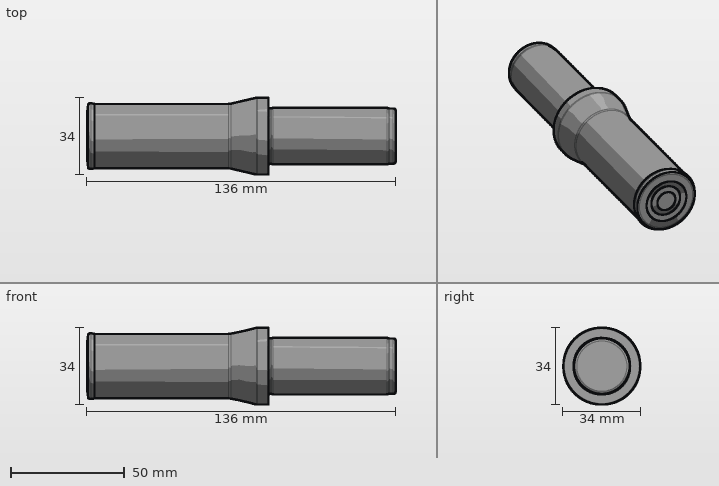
import cadquery as cq
import math

total_length = 136.0

centre_depth = 0.5
centre_rim_radius = 4.4
centre_rim_depth = 0.1
groove_root_radius = 7.0
groove_depth = 0.75
face_inner_radius = 9.7
face_seam_radius = 13.0
face_seam_depth = 0.4
face_outer_radius = 14.0
face_outer_depth = 0.55

tip_radius = 14.55
corner_end = 1.75
corner_bulge = 0.15
tip_length = 3.4

body_radius = 28.5 / 2
flange_radius = 34.0 / 2
flange_end = 80.0
flare_start = 63.0
flare_end = 74.8
flare_root_blend = 5.0
flare_crown_blend = 2.0
flange_edge_radius = 0.5

shank_radius = 25.0 / 2
relief_radius = 24.5 / 2
shank_start = 81.1
shank_end = 133.0
shank_taper_angle = 15.0
shank_taper_length = (shank_radius - relief_radius) / math.tan(math.radians(shank_taper_angle))
shank_taper_blend = 1.3
shank_end_radius = 1.2


def turn(half_profile):
    """Revolve a closed half profile, drawn as (x, radius), about the X axis."""
    return half_profile.close().revolve(360, (0, 0, 0), (1, 0, 0))


def round_circle(body, x, circle_radius, fillet_radius):
    """Fillet the circular edge of the given radius at the given X."""
    reach = 0.01
    box = cq.selectors.BoxSelector(
        (x - reach, -circle_radius - reach, -circle_radius - reach),
        (x + reach, circle_radius + reach, circle_radius + reach),
        boundingbox=True,
    )
    return body.edges(box).fillet(fillet_radius)


def make_cutting_tip():
    return turn(
        cq.Workplane("XY")
        .moveTo(centre_depth, 0)
        .lineTo(centre_rim_depth, centre_rim_radius)
        .lineTo(groove_depth, groove_root_radius)
        .lineTo(0, face_inner_radius)
        .lineTo(face_seam_depth, face_seam_radius)
        .lineTo(face_outer_depth, face_outer_radius)
        .sagittaArc((corner_end, tip_radius), corner_bulge)
        .lineTo(tip_length, body_radius)
        .lineTo(tip_length, 0)
    )


def make_holder():
    holder = turn(
        cq.Workplane("XY")
        .moveTo(tip_length, 0)
        .lineTo(tip_length, body_radius)
        .lineTo(flare_start, body_radius)
        .lineTo(flare_end, flange_radius)
        .lineTo(flange_end, flange_radius)
        .lineTo(flange_end, relief_radius)
        .lineTo(shank_start, relief_radius)
        .lineTo(shank_start + shank_taper_length, shank_radius)
        .lineTo(shank_end - shank_taper_length, shank_radius)
        .lineTo(shank_end, relief_radius)
        .lineTo(total_length, relief_radius)
        .lineTo(total_length, 0)
    )
    holder = round_circle(holder, flare_start, body_radius, flare_root_blend)
    holder = round_circle(holder, flare_end, flange_radius, flare_crown_blend)
    holder = round_circle(holder, flange_end, flange_radius, flange_edge_radius)
    for taper_foot in (shank_start, shank_end):
        holder = round_circle(holder, taper_foot, relief_radius, shank_taper_blend)
    return round_circle(holder, total_length, relief_radius, shank_end_radius)


cutting_tip = make_cutting_tip()
holder = make_holder()

result = cq.Compound.makeCompound([cutting_tip.val(), holder.val()])